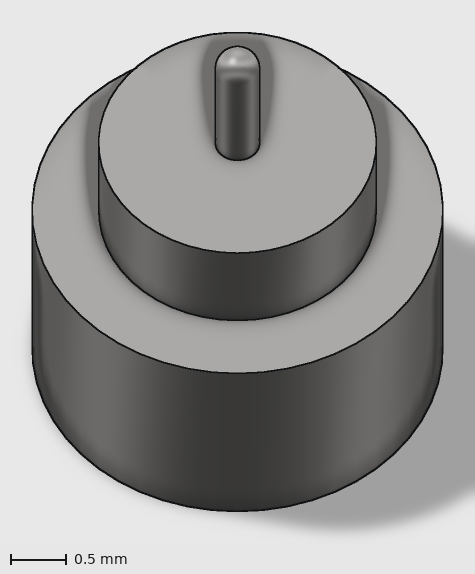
import cadquery as cq

total_height = 4.35
body_diameter = 3.7
body_height = 2.05
collar_diameter = 2.5
collar_height = 1.0
insulator_diameter = 1.8
pin_diameter = 0.4

collar_top = body_height + collar_height
pin_radius = pin_diameter / 2
pin_length = total_height - collar_top


def cylinder(diameter, height, base_z):
    """Upright cylinder on the Z axis, standing on base_z."""
    return cq.Workplane("XY").workplane(offset=base_z).circle(diameter / 2).extrude(height)


body = cylinder(body_diameter, body_height, 0)
collar = cylinder(collar_diameter, collar_height, body_height)
insulator = cylinder(insulator_diameter, collar_height, body_height)
shell = body.union(collar).cut(insulator)

pin = cylinder(pin_diameter, pin_length - pin_radius, collar_top)
tip = cq.Workplane("XY").sphere(pin_radius).translate((0, 0, total_height - pin_radius))
pin = pin.union(tip)

result = shell.union(insulator, clean=False).union(pin, clean=False)